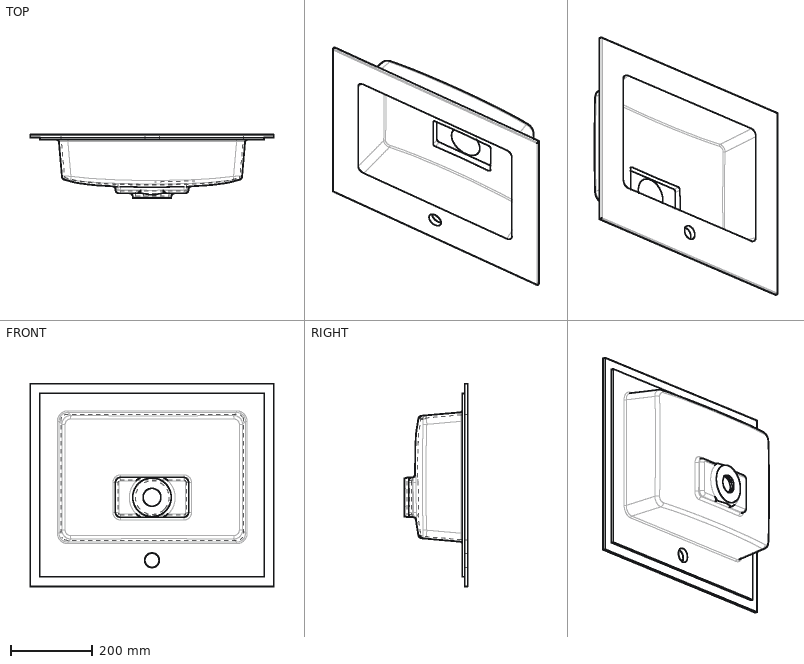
import cadquery as cq
import math


DECK_WIDTH = 600.0
DECK_HEIGHT = 500.0
DECK_THICKNESS = 8.0
DECK_EDGE_RADIUS = 2.0
STEP_MARGIN = 24.0
STEP_THICKNESS = 6.0
STEP_DEPTH = DECK_THICKNESS + STEP_THICKNESS
TAP_HOLE_DIAMETER = 35.0
TAP_HOLE_Z = -185.0

BOWL_WIDTH = 460.0
BOWL_HEIGHT = 320.0
BOWL_Z = 20.0
BOWL_DRAFT = 5.0
BOWL_CORNER_RADIUS = 22.0
BOWL_FLOOR_RADIUS = 10.0
BOWL_ROOT_RADIUS = 4.0
WALL = 6.0

FLOOR_SIDE_DEPTH = 107.0
FLOOR_LONG_EDGE_DEPTH = 118.0
FLOOR_CENTRE_DEPTH = 130.5
SWELL_POWER_X = 6
SWELL_POWER_Z = 4
FLOOR_SAMPLES = 13

DRAIN_Z = -30.0
BOX_WIDTH = 180.0
BOX_HEIGHT = 98.0
BOX_DEPTH = 145.5
BOX_CORNER_RADIUS = 12.0
BOX_EDGE_RADIUS = 8.0
BOX_ROOT_RADIUS = 7.0
SUMP_DIAMETER = 95.0
SUMP_DEPTH = 157.0
SUMP_ROOT_RADIUS = 9.0
OUTLET_DIAMETER = 44.0
SUMP_FLOOR_DEPTH = SUMP_DEPTH - WALL
BOX_FLOOR_DEPTH = BOX_DEPTH - WALL
COVER_DIAMETER = SUMP_DIAMETER - 2 * WALL
COVER_RECESS = 6.0

SMALL = 0.1


def block(width, height, near, far, z=0.0):
    """Rectangular block between two depths."""
    return cq.Workplane("XZ", origin=(0, -near, z)).rect(width, height).extrude(far - near)


def disc(diameter, near, far, z):
    """Round block between two depths."""
    return cq.Workplane("XZ", origin=(0, -near, z)).circle(diameter / 2).extrude(far - near)


def floor_depth(x, z):
    """Depth of the bulged floor: a parabolic bow along X plus a flatter swell over the middle."""
    across = abs(x) / (BOWL_WIDTH / 2)
    upward = abs(z - BOWL_Z) / (BOWL_HEIGHT / 2)
    bow = (FLOOR_LONG_EDGE_DEPTH - FLOOR_SIDE_DEPTH) * (1 - across ** 2)
    flat_top = (1 - across ** SWELL_POWER_X) * (1 - upward ** SWELL_POWER_Z)
    swell = (FLOOR_CENTRE_DEPTH - FLOOR_LONG_EDGE_DEPTH) * flat_top
    return FLOOR_SIDE_DEPTH + bow + swell


def below_floor(inset):
    """Everything deeper than the bulged floor, raised by the inset."""
    steps = [2 * i / (FLOOR_SAMPLES - 1) - 1 for i in range(FLOOR_SAMPLES)]
    points = []
    for u in steps:
        x = u * BOWL_WIDTH / 2
        row = []
        for v in steps:
            z = BOWL_Z + v * BOWL_HEIGHT / 2
            row.append(cq.Vector(x, inset - floor_depth(x, z), z))
        points.append(row)
    floor = cq.Face.makeSplineApprox(points)
    return cq.Workplane(cq.Solid.extrudeLinear(floor, cq.Vector(0, -SUMP_DEPTH, 0)))


def bowl_block(start, inset):
    """Solid bowl shape from a start depth down to the floor, shrunk by the inset."""
    spread = 2 * (STEP_DEPTH - start) * math.tan(math.radians(BOWL_DRAFT))
    width = BOWL_WIDTH + spread - 2 * inset
    height = BOWL_HEIGHT + spread - 2 * inset
    bowl = (
        cq.Workplane("XZ", origin=(0, -start, BOWL_Z))
        .rect(width, height)
        .extrude(SUMP_DEPTH - start, taper=BOWL_DRAFT)
        .edges("not(|X or |Z)")
        .fillet(BOWL_CORNER_RADIUS - inset)
    )
    bowl = bowl.cut(below_floor(inset))
    return bowl.faces("<Y").edges().fillet(BOWL_FLOOR_RADIUS - inset)


def drain_box(inset):
    """Rounded box that carries the sump, shrunk by the inset."""
    box = block(BOX_WIDTH - 2 * inset, BOX_HEIGHT - 2 * inset, STEP_DEPTH, BOX_DEPTH - inset, DRAIN_Z)
    return box.edges("|Y").fillet(BOX_CORNER_RADIUS - inset)


def sump_boss():
    """Round boss with a flared root, trimmed to the outline of the drain box."""
    radius = SUMP_DIAMETER / 2
    root = radius + SUMP_ROOT_RADIUS
    flare_top = BOX_DEPTH + SUMP_ROOT_RADIUS
    bend = SUMP_ROOT_RADIUS * (1 - math.sqrt(0.5))
    base = BOX_DEPTH - BOX_EDGE_RADIUS
    boss = (
        cq.Workplane("XY", origin=(0, 0, DRAIN_Z))
        .moveTo(0, -base)
        .lineTo(root, -base)
        .lineTo(root, -BOX_DEPTH)
        .threePointArc((radius + bend, -BOX_DEPTH - bend), (radius, -flare_top))
        .lineTo(radius, -SUMP_DEPTH)
        .lineTo(0, -SUMP_DEPTH)
        .close()
        .revolve(360, (0, 0, 0), (0, 1, 0))
    )
    return boss.intersect(block(BOX_WIDTH, BOX_HEIGHT, base, SUMP_DEPTH, DRAIN_Z))


def outer_bowl():
    """Solid outer shape of the bowl with the drain box blended into its floor."""
    bowl = bowl_block(STEP_DEPTH, 0).union(drain_box(0))
    reach_x = BOX_WIDTH / 2 + BOX_ROOT_RADIUS
    reach_z = BOX_HEIGHT / 2 + BOX_ROOT_RADIUS
    box_zone = cq.selectors.BoxSelector(
        (-reach_x, -BOX_DEPTH, DRAIN_Z - reach_z),
        (reach_x, -STEP_DEPTH, DRAIN_Z + reach_z),
    )
    bowl = bowl.edges(box_zone).edges("%BSPLINE").fillet(BOX_ROOT_RADIUS)
    return bowl.faces("<Y").edges().fillet(BOX_EDGE_RADIUS)


def deck():
    """Deck plate with its smaller second slab."""
    plate = block(DECK_WIDTH, DECK_HEIGHT, 0, DECK_THICKNESS)
    plate = plate.faces(">Y").edges().fillet(DECK_EDGE_RADIUS)
    slab = block(DECK_WIDTH - 2 * STEP_MARGIN, DECK_HEIGHT - 2 * STEP_MARGIN, DECK_THICKNESS, STEP_DEPTH)
    return plate.union(slab)


def outer_shape():
    """Deck, bowl and sump boss as one solid, blended where the bowl leaves the deck."""
    shape = deck().union(outer_bowl())
    at_step = cq.selectors.BoxSelector(
        (-DECK_WIDTH, -STEP_DEPTH - SMALL, -DECK_HEIGHT),
        (DECK_WIDTH, -STEP_DEPTH + SMALL, DECK_HEIGHT),
    )
    step_face = shape.faces(at_step).val()
    bowl_seam = step_face.innerWires()[0].Edges()
    blended = shape.val().fillet(BOWL_ROOT_RADIUS, bowl_seam)
    return cq.Workplane(blended).union(sump_boss())


def make_basin():
    """Hollow basin with its sump pocket, outlet and tap hole."""
    basin = outer_shape().cut(bowl_block(0, WALL)).cut(drain_box(WALL))
    basin = basin.cut(disc(COVER_DIAMETER, BOX_FLOOR_DEPTH, SUMP_FLOOR_DEPTH, DRAIN_Z))
    basin = basin.cut(disc(OUTLET_DIAMETER, SUMP_FLOOR_DEPTH, SUMP_DEPTH, DRAIN_Z))
    return basin.cut(disc(TAP_HOLE_DIAMETER, 0, STEP_DEPTH, TAP_HOLE_Z))


def make_drain_cover():
    """Round cover that fills the sump pocket and closes the outlet from inside the bowl."""
    cover = disc(COVER_DIAMETER, BOX_FLOOR_DEPTH, SUMP_FLOOR_DEPTH, DRAIN_Z)
    recess = disc(OUTLET_DIAMETER, SUMP_FLOOR_DEPTH - COVER_RECESS, SUMP_FLOOR_DEPTH, DRAIN_Z)
    return cover.cut(recess)


basin = make_basin()
drain_cover = make_drain_cover()
result = cq.Compound.makeCompound([basin.solids().val(), drain_cover.solids().val()])